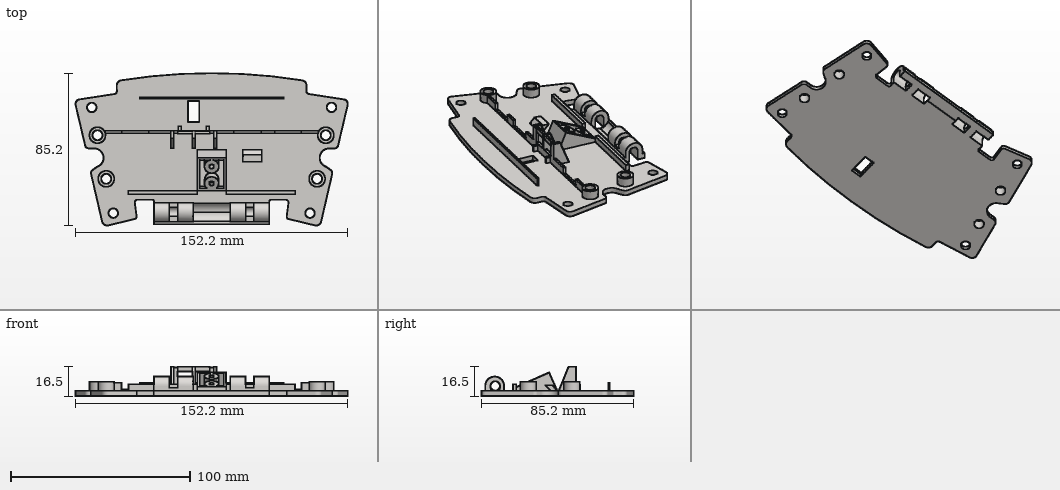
import cadquery as cq
import math

plate_thickness = 3.0
plate_back_y = 42.6
screw_hole_diameter = 5.2
screw_hole_places = [(67.0, 23.5), (55.0, -35.6)]
boss_outer_diameter = 9.0
boss_hole_diameter = 5.5
boss_places = [(63.8, 7.9), (58.9, -16.5)]
boss_top = 8.0

hinge_half_length = 32.3
hinge_lip_y = -41.9
pin_radius = 2.6
barrel_radius = 5.3
barrel_y = -35.2
barrel_axis_z = plate_thickness + pin_radius
barrel_length = 8.7
barrel_gap = 4.5
pin_y = -34.9
saddle_top = 4.7
trough_radius = 5.6
trough_half_length = hinge_half_length - 2 * barrel_length - barrel_gap

back_rib_half_length = 40.2
back_rib_y = (28.2, 29.2)
tall_rib_top = 7.5
low_rib_top = 3.8
front_rib_end = 46.6
front_rib_y = (-25.0, -23.0)
front_rib_top = 6.7
middle_rib_y = (9.0, 10.4)
low_rib_spans = [(-50.2, -35.2), (12.3, 27.7), (35.2, 50.1)]

window_x = (-13.1, -7.0)
window_y = (15.4, 27.0)

bracket_top = 16.5
bracket_shoulder_top = 16.0
gusset_width = 1.7
gusset_places = [-21.9, -9.9, 2.0]
gusset_crest_y = 6.1
gusset_toe_y = 0.6
panel_x = (-19.0, -1.0)
panel_y = (8.7, 10.0)
opening_z = (tall_rib_top, 13.7)
tab_width = 1.7
tab_places = [-17.8, -2.3]
tab_back_y = 12.8
tab_top = 6.4

box_half_width = 8.0
box_wall = 1.4
box_tilt = 24.0
box_crest_y = -4.7
box_crest_z = 13.2
box_front_y = front_rib_y[1]
tube_outer_diameter = 8.0
tube_hole_diameter = 2.6
tube_places = [5.3, 15.7]

catch_x = (17.5, 28.0)
catch_back_y = -0.2
catch_lean = 2.9
catch_depth = 3.8
catch_height = 3.0


def block(x_range, y_range, z_range):
    """Axis-aligned block between the given limits."""
    size = [high - low for low, high in (x_range, y_range, z_range)]
    corner = (x_range[0], y_range[0], z_range[0])
    return cq.Workplane("XY").box(*size, centered=False).translate(corner)


def side_prism(points, x_range):
    """Prism along X with a (Y, Z) outline."""
    length = x_range[1] - x_range[0]
    return cq.Workplane("YZ").polyline(points).close().extrude(length).translate((x_range[0], 0, 0))


def x_cylinder(radius, y, z, x_range):
    """Cylinder along X."""
    length = x_range[1] - x_range[0]
    return cq.Workplane("YZ").center(y, z).circle(radius).extrude(length).translate((x_range[0], 0, 0))


def half_plate():
    """Right half of the base plate with rounded corners and an arc-shaped side notch."""
    back_corner = (53.1, 38.2)
    shoulder = (53.0, 31.2)
    back_ear = (76.7, 27.5)
    notch_center = (65.6, -4.7)
    notch_radius = 5.2
    notch_end_angle = math.radians(-110)
    notch_start = (notch_center[0], notch_center[1] + notch_radius)
    notch_middle = (notch_center[0] - notch_radius, notch_center[1])
    notch_end = (
        notch_center[0] + notch_radius * math.cos(notch_end_angle),
        notch_center[1] + notch_radius * math.sin(notch_end_angle),
    )
    notch_corner = (70.3, notch_start[1])
    front_side_corner = (67.7, -12.3)
    front_ear = (60.6, -43.2)
    front_inner_corner = (41.7, -38.7)
    recess_y = -28.2
    recess_corner = (43.0, recess_y)
    recess_hinge_corner = (hinge_half_length, recess_y)
    arc_middle = (26.8, 41.5)
    plate = (
        cq.Workplane("XY")
        .moveTo(0, plate_back_y)
        .threePointArc(arc_middle, back_corner)
        .lineTo(*shoulder)
        .lineTo(*back_ear)
        .lineTo(*notch_corner)
        .lineTo(*notch_start)
        .threePointArc(notch_middle, notch_end)
        .lineTo(*front_side_corner)
        .lineTo(*front_ear)
        .lineTo(*front_inner_corner)
        .lineTo(*recess_corner)
        .lineTo(*recess_hinge_corner)
        .lineTo(hinge_half_length, hinge_lip_y)
        .lineTo(0, hinge_lip_y)
        .close()
        .extrude(plate_thickness)
    )
    corner_radii = [
        (back_corner, 3.0), (shoulder, 1.5), (back_ear, 2.7), (notch_corner, 2.3),
        (front_side_corner, 2.3), (front_ear, 3.0), (front_inner_corner, 1.5),
        (recess_corner, 1.5), (recess_hinge_corner, 0.9),
    ]
    for (x, y), radius in corner_radii:
        edge = cq.selectors.NearestToPointSelector((x, y, plate_thickness / 2))
        plate = plate.edges("|Z").edges(edge).fillet(radius)
    return plate


def mirrored(places):
    """The given places together with their mirror images at negative X."""
    return [(side * x, y) for x, y in places for side in (-1, 1)]


def base_plate():
    """Whole plate with its four bosses and the rectangular window."""
    right = half_plate()
    plate = right.union(right.mirror("YZ"))
    bosses = (
        cq.Workplane("XY").pushPoints(mirrored(boss_places))
        .circle(boss_outer_diameter / 2).extrude(boss_top)
    )
    return plate.union(bosses).cut(block(window_x, window_y, (0, plate_thickness)))


def drill(places, diameter):
    """Cutting pins for the mirrored holes, reaching through plate and bosses."""
    return cq.Workplane("XY").pushPoints(mirrored(places)).circle(diameter / 2).extrude(boss_top)


def straight_ribs():
    """Back rib, stepped middle rib between the back bosses, and split front rib."""
    boss_x = boss_places[0][0]
    ribs = block((-back_rib_half_length, back_rib_half_length), back_rib_y, (0, tall_rib_top))
    ribs = ribs.union(block((-boss_x, boss_x), middle_rib_y, (0, tall_rib_top)))
    for span in low_rib_spans:
        ribs = ribs.cut(block(span, middle_rib_y, (low_rib_top, tall_rib_top)))
    for span in ((-front_rib_end, -box_half_width), (box_half_width, front_rib_end)):
        ribs = ribs.union(block(span, front_rib_y, (0, front_rib_top)))
    return ribs


def bracket():
    """Upright panel with openings, three tapered gussets and two small tabs behind it."""
    shoulder_x = (gusset_places[0], gusset_places[-1])
    body = block(shoulder_x, middle_rib_y, (0, bracket_shoulder_top))
    body = body.cut(block(panel_x, (panel_y[1], middle_rib_y[1]), (tall_rib_top, bracket_top)))
    body = body.union(block(panel_x, panel_y, (0, bracket_top)))
    body = body.cut(block(panel_x, (panel_y[0], middle_rib_y[1]), opening_z))
    profile = [
        (middle_rib_y[1], 0), (middle_rib_y[1], bracket_top), (gusset_crest_y, bracket_top),
        (gusset_toe_y, plate_thickness), (gusset_toe_y, 0),
    ]
    for x in gusset_places:
        body = body.union(side_prism(profile, (x - gusset_width / 2, x + gusset_width / 2)))
    for x in tab_places:
        span = (x - tab_width / 2, x + tab_width / 2)
        body = body.union(block(span, (panel_y[0], tab_back_y), (0, tab_top)))
    return body


def tilted_box():
    """Open wedge-shaped box whose rim slopes to the front, holding two tubes square to the rim."""
    slope = math.tan(math.radians(box_tilt))
    back_foot_y = box_crest_y + (box_crest_z - plate_thickness) * slope
    front_z = box_crest_z + (box_front_y - box_crest_y) * slope
    profile = [
        (back_foot_y, plate_thickness), (box_crest_y, box_crest_z),
        (box_front_y, front_z), (box_front_y, plate_thickness),
    ]
    outer = side_prism(profile, (-box_half_width, box_half_width))
    rim = cq.Workplane(
        cq.Plane(
            origin=(0, box_crest_y, box_crest_z),
            xDir=(1, 0, 0),
            normal=(0, -math.sin(math.radians(box_tilt)), math.cos(math.radians(box_tilt))),
        )
    )
    rim_length = (box_crest_y - box_front_y) / math.cos(math.radians(box_tilt))
    cavity = (
        rim.center(0, -rim_length / 2)
        .rect(2 * (box_half_width - box_wall), rim_length - 2 * box_wall)
        .extrude(-box_crest_z)
    )
    centers = [(0, -distance) for distance in tube_places]
    tubes = rim.pushPoints(centers).circle(tube_outer_diameter / 2).extrude(-box_crest_z)
    bores = rim.pushPoints(centers).circle(tube_hole_diameter / 2).extrude(-box_crest_z)
    return outer.cut(cavity.cut(tubes)).cut(bores)


def catch():
    """Small block leaning toward the front."""
    top = plate_thickness + catch_height
    profile = [
        (catch_back_y, plate_thickness), (catch_back_y - catch_lean, top),
        (catch_back_y - catch_lean - catch_depth, top), (catch_back_y - catch_depth, plate_thickness),
    ]
    return side_prism(profile, catch_x)


def add_hinge(body):
    """Four barrels over a pin slot, with saddles in the gaps and a round trough in the middle."""
    barrel_y_range = (barrel_y - barrel_radius, barrel_y + barrel_radius)
    pin_y_range = (pin_y - pin_radius, pin_y + pin_radius)
    outer_barrel = (hinge_half_length - barrel_length, hinge_half_length)
    inner_barrel = (trough_half_length, trough_half_length + barrel_length)
    saddle = (inner_barrel[1], outer_barrel[0])
    for side in (-1, 1):
        pin_x = sorted((side * trough_half_length, side * hinge_half_length))
        for span in (outer_barrel, inner_barrel):
            x_range = sorted(side * x for x in span)
            body = body.union(x_cylinder(barrel_radius, barrel_y, barrel_axis_z, x_range))
            body = body.union(block(x_range, barrel_y_range, (0, barrel_axis_z)))
            body = body.cut(block(x_range, pin_y_range, (0, barrel_axis_z)))
        body = body.union(block(sorted(side * x for x in saddle), barrel_y_range, (0, saddle_top)))
        body = body.cut(x_cylinder(pin_radius, pin_y, barrel_axis_z, pin_x))
    trough_x = (-trough_half_length, trough_half_length)
    return body.cut(x_cylinder(trough_radius, barrel_y, barrel_axis_z, trough_x))


body = base_plate().union(straight_ribs()).union(bracket()).union(tilted_box()).union(catch())
body = body.cut(drill(screw_hole_places, screw_hole_diameter))
body = body.cut(drill(boss_places, boss_hole_diameter))
result = add_hinge(body)